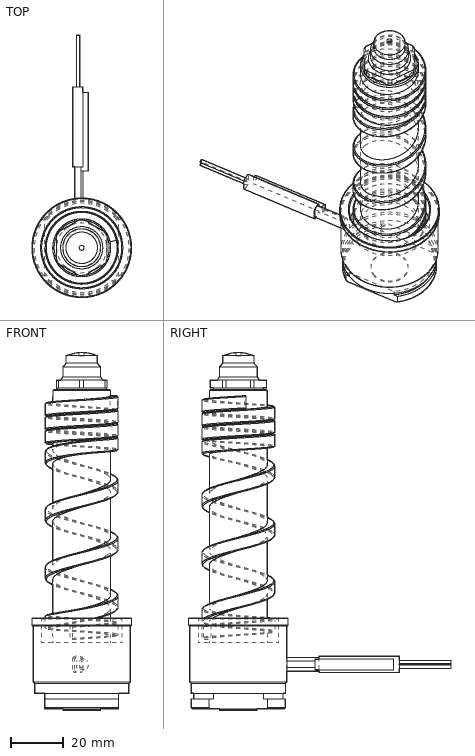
import cadquery as cq
import math

foot_radius = 7.1
foot_height = 0.5
base_radius = 18.0
base_edge_chamfer = 0.4
base_neck_radius = 17.0
base_neck_bottom = 4.4
flats_width = 28.2
band_bottom = 6.4
body_radius = 18.5
body_bottom = 10.2
body_chamfer = 0.5
flange_diameter = 38.0
flange_radius = flange_diameter / 2
flange_bottom = 32.1
flange_top = 35.1
flange_chamfer = 0.3
socket_radius = 15.3
socket_floor = 25.7
socket_chamfer = 0.4

shaft_radius = 11.0
shaft_top = 122.2
shaft_chamfer = 0.5
hex_neck_radius = 9.5
hex_bottom = 122.7
hex_top = 125.7
hex_across_flats = 19.3
hex_corner_radius = 10.8
collar_radius = 7.2
collar_top = 130.8
collar_chamfer = 0.8
collar_flare_width = 0.8
collar_flare_height = 1.2
nose_radius = 6.0
nose_flare_height = 0.7
nose_shoulder = 135.0
dome_radius = 15.0
total_height = 136.2
tip_hole_radius = 1.0
tip_hole_depth = 1.4

spring_outer_radius = 13.9
spring_overlap = 0.4
spring_inner_radius = shaft_radius - spring_overlap
spring_height = 5.0
spring_chamfer = 0.4
spring_top_angle = 12.0
spring_top = 117.3
full_turn = 360
end_turns = 1148 / full_turn
end_drop = 16.6
open_turns = 925.5 / full_turn
open_drop = 56.5
blend_turns = 139.5 / full_turn
seat_turns = 0.8
close_pitch = end_drop / end_turns
open_pitch = open_drop / open_turns
points_per_turn = 24

overall_length = 100.0
lead_height = 17.5
lead_root = 16.3
flat_lead_x = -1.5
flat_lead_size = (2.5, 5.3)
flat_lead_corner = 0.7
flat_sleeve_size = (4.0, 6.3)
flat_sleeve_corner = 1.2
flat_sleeve_start = 30.8
flat_sleeve_end = 61.3
strand_radius = 0.7
strand_spacing = 1.8
strand_x = -1.4
strand_end = overall_length - flange_radius
round_lead_radius = 1.4
round_lead_x = -0.8
round_sleeve_radius = 2.0
round_sleeve_x = 0.5
round_sleeve_start = 29.1
round_sleeve_end = 59.1


def disc(radius, bottom, top):
    """Cylinder on the Z axis between two heights."""
    return cq.Workplane("XY").workplane(offset=bottom).circle(radius).extrude(top - bottom)


def make_housing():
    """Stepped cup with two wrench flats at its base and an open socket in its top."""
    base = disc(base_radius, foot_height, base_neck_bottom).faces("<Z").edges().chamfer(base_edge_chamfer)
    base = base.union(disc(base_neck_radius, base_neck_bottom, band_bottom))
    flats = cq.Workplane("XY").box(flats_width, 2 * base_radius, band_bottom, centered=(True, True, False))
    body = disc(body_radius, body_bottom, flange_bottom).faces("<Z").edges().chamfer(body_chamfer)
    flange = disc(flange_radius, flange_bottom, flange_top).edges().chamfer(flange_chamfer)
    socket = disc(socket_radius, socket_floor, flange_top)
    housing = (
        disc(foot_radius, 0, foot_height)
        .union(base.intersect(flats))
        .union(disc(base_radius, band_bottom, body_bottom))
        .union(body)
        .union(flange)
        .cut(socket)
    )
    rim = cq.selectors.RadiusNthSelector(0)
    return housing.faces(">Z").edges(rim).chamfer(socket_chamfer)


def make_shaft():
    """Plain shaft carrying a hexagon, a collar and a domed nose with a small tip hole."""
    shaft = disc(shaft_radius, socket_floor, shaft_top).faces(">Z").edges().chamfer(shaft_chamfer)
    neck = disc(hex_neck_radius, shaft_top, hex_bottom)
    hexagon = (
        cq.Workplane("XY")
        .workplane(offset=hex_bottom)
        .polygon(6, hex_across_flats / math.cos(math.pi / 6))
        .extrude(hex_top - hex_bottom)
        .rotate((0, 0, 0), (0, 0, 1), 30)
        .intersect(disc(hex_corner_radius, hex_bottom, hex_top))
    )
    nose = (
        cq.Workplane("XZ")
        .moveTo(0, hex_top)
        .lineTo(collar_radius + collar_flare_width, hex_top)
        .lineTo(collar_radius, hex_top + collar_flare_height)
        .lineTo(collar_radius, collar_top)
        .lineTo(collar_radius - collar_chamfer, collar_top + collar_chamfer)
        .lineTo(nose_radius, collar_top + collar_chamfer + nose_flare_height)
        .lineTo(nose_radius, nose_shoulder)
        .radiusArc((tip_hole_radius, total_height), -dome_radius)
        .lineTo(0, total_height)
        .close()
        .revolve(360, (0, 0, 0), (0, 1, 0))
    )
    tip_hole = disc(tip_hole_radius, total_height - tip_hole_depth, total_height)
    return shaft.union(neck).union(hexagon).union(nose).cut(tip_hole)


def make_spring():
    """Flat-wire spring whose pitch changes linearly between the close and the open turns."""
    half = spring_height / 2
    edge_radius = spring_outer_radius - spring_chamfer
    edge_height = half - spring_chamfer
    section = [
        (spring_inner_radius, -half),
        (edge_radius, -half),
        (spring_outer_radius, -edge_height),
        (spring_outer_radius, edge_height),
        (edge_radius, half),
        (spring_inner_radius, half),
    ]
    stretches = [
        (end_turns, close_pitch, close_pitch),
        (blend_turns, close_pitch, open_pitch),
        (open_turns, open_pitch, open_pitch),
        (blend_turns, open_pitch, close_pitch),
        (seat_turns, close_pitch, close_pitch),
    ]

    def corner(radius, rise, turn, height):
        angle = math.radians(spring_top_angle) - 2 * math.pi * turn
        return cq.Vector(radius * math.cos(angle), radius * math.sin(angle), height + rise)

    def cap(turn, height):
        outline = [corner(radius, rise, turn, height) for radius, rise in section]
        return cq.Face.makeFromWires(cq.Wire.makePolygon(outline, close=True))

    turn = 0.0
    height = spring_top
    faces = [cap(turn, height)]
    for turns, start_pitch, end_pitch in stretches:
        steps = math.ceil(turns * points_per_turn)
        path = []
        for step in range(steps + 1):
            part = turns * step / steps
            drop = start_pitch * part + (end_pitch - start_pitch) * part**2 / (2 * turns)
            path.append((turn + part, height - drop))
        edges = [
            cq.Edge.makeSpline([corner(radius, rise, *place) for place in path])
            for radius, rise in section
        ]
        for index, edge in enumerate(edges):
            faces.append(cq.Face.makeRuledSurface(edge, edges[index - 1]))
        turn, height = path[-1]
    faces.append(cap(turn, height))
    return cq.Workplane(cq.Solid.makeSolid(cq.Shell.makeShell(faces)).fix())


def flat_bar(size, corner_radius, start, end):
    """Rounded rectangular bar of the flat lead, along +Y."""
    return (
        cq.Workplane("XZ", origin=(flat_lead_x, start, lead_height))
        .rect(*size)
        .extrude(start - end)
        .edges("|Y")
        .fillet(corner_radius)
    )


def round_bar(radius, x, z, start, end):
    """Round bar along +Y."""
    return cq.Workplane("XZ", origin=(x, start, z)).circle(radius).extrude(start - end)


def make_leads():
    """Flat lead ending in two bare wires, with a shorter round lead beside it."""
    leads = (
        flat_bar(flat_lead_size, flat_lead_corner, lead_root, flat_sleeve_start)
        .union(flat_bar(flat_sleeve_size, flat_sleeve_corner, flat_sleeve_start, flat_sleeve_end))
        .union(round_bar(round_lead_radius, round_lead_x, lead_height, lead_root, round_sleeve_start))
        .union(
            round_bar(round_sleeve_radius, round_sleeve_x, lead_height, round_sleeve_start, round_sleeve_end)
        )
    )
    for side in (-1, 1):
        strand_z = lead_height + side * strand_spacing / 2
        leads = leads.union(round_bar(strand_radius, strand_x, strand_z, flat_sleeve_end, strand_end))
    return leads


result = make_housing().union(make_shaft()).union(make_leads()).union(make_spring())